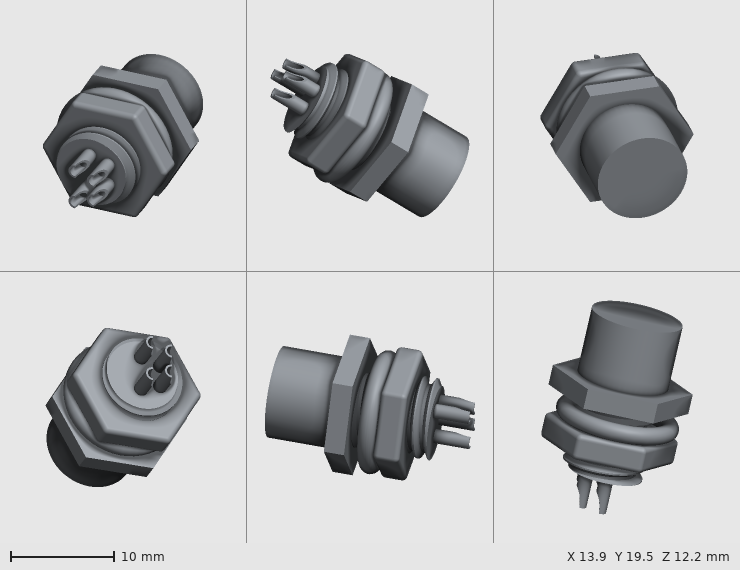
import cadquery as cq
import math


BARREL_DIAMETER = 9.0
BARREL_LENGTH = 6.5
FLANGE_ACROSS_FLATS = 12.0
FLANGE_THICKNESS = 2.0

THREAD_LENGTH = 7.5
THREAD_DIAMETER = 8.0
THREAD_PITCH = 1.25
THREAD_HALF_ANGLE = math.radians(30)
CREST_WIDTH = THREAD_PITCH / 8
ROOT_WIDTH = THREAD_PITCH / 4
THREAD_DEPTH = (THREAD_PITCH - CREST_WIDTH - ROOT_WIDTH) / 2 / math.tan(THREAD_HALF_ANGLE)
ROOT_RADIUS = THREAD_DIAMETER / 2 - THREAD_DEPTH
CREST_OFFSET = 0.71
THREAD_OVERRUN = 2 * THREAD_PITCH
RIDGE_OVERLAP = 0.05

RING_OUTER_DIAMETER = 12.15
RING_SECTION_DIAMETER = 1.75
RING_FRONT_GAP = 1.0
RING_INNER_DIAMETER = RING_OUTER_DIAMETER - 2 * RING_SECTION_DIAMETER
RING_SHIFT_X = (THREAD_DIAMETER - RING_INNER_DIAMETER) / 2

NUT_ACROSS_FLATS = 11.5
NUT_THICKNESS = 2.6
NUT_FILLET = 0.5
NUT_FRONT_GAP = RING_FRONT_GAP + RING_SECTION_DIAMETER

PIN_DIAMETER = 1.4
PIN_LENGTH = 3.5
CUP_DIAMETER = 1.0
CUP_DEPTH = 2.0
PIN_POSITIONS = [(x, side * z) for x, z in ((-0.50, 1.70), (1.45, 1.085)) for side in (1, -1)]


def axial_plane(y):
    """Plane across the connector axis, with local x = X, local y = Z and its normal along -Y."""
    return cq.Workplane("XZ", origin=(0, y, 0))


def hexagon(workplane, across_flats):
    """Hexagon outline with corners on the X axis."""
    return workplane.polygon(6, across_flats / math.cos(math.pi / 6))


def make_thread_ridge():
    """Right-handed helical ridge along the threaded shank, longer than the shank at both ends."""
    inner_radius = ROOT_RADIUS - RIDGE_OVERLAP
    half_crest = CREST_WIDTH / 2
    half_base = half_crest + (THREAD_DEPTH + RIDGE_OVERLAP) * math.tan(THREAD_HALF_ANGLE)
    ridge_length = THREAD_LENGTH + 2 * THREAD_OVERRUN
    path = cq.Wire.makeHelix(THREAD_PITCH, ridge_length, inner_radius)
    ridge = (
        cq.Workplane("XZ")
        .polyline(
            [
                (inner_radius, -half_base),
                (THREAD_DIAMETER / 2, -half_crest),
                (THREAD_DIAMETER / 2, half_crest),
                (inner_radius, half_base),
            ]
        )
        .close()
        .sweep(cq.Workplane(path), isFrenet=True)
    )
    start_y = -THREAD_LENGTH + CREST_OFFSET - THREAD_OVERRUN
    return ridge.rotate((0, 0, 0), (1, 0, 0), -90).translate((0, start_y, 0))


def make_thread():
    """Threaded shank, built longer than needed and then trimmed flat at both ends."""
    core_overrun = 2 * THREAD_OVERRUN
    core_length = THREAD_LENGTH + 2 * core_overrun
    core = axial_plane(core_overrun).circle(ROOT_RADIUS).extrude(core_length)
    trim = axial_plane(0).circle(THREAD_DIAMETER).extrude(THREAD_LENGTH)
    return core.union(make_thread_ridge()).intersect(trim)


def make_housing():
    barrel_end = FLANGE_THICKNESS + BARREL_LENGTH
    barrel = axial_plane(barrel_end).circle(BARREL_DIAMETER / 2).extrude(BARREL_LENGTH)
    flange = hexagon(axial_plane(FLANGE_THICKNESS), FLANGE_ACROSS_FLATS).extrude(FLANGE_THICKNESS)
    thread = make_thread()
    return barrel.union(flange).union(thread)


def make_o_ring():
    section_radius = RING_SECTION_DIAMETER / 2
    centre_radius = RING_OUTER_DIAMETER / 2 - section_radius
    centre_y = -RING_FRONT_GAP - section_radius
    ring = cq.Workplane("XY").center(centre_radius, centre_y).circle(section_radius)
    ring = ring.revolve(360, (-centre_radius, 0), (-centre_radius, 1))
    return ring.translate((RING_SHIFT_X, 0, 0))


def make_nut():
    """Rounded hexagonal nut whose internal thread matches the shank it is screwed onto."""
    nut = hexagon(axial_plane(-NUT_FRONT_GAP), NUT_ACROSS_FLATS).extrude(NUT_THICKNESS)
    nut = nut.edges().fillet(NUT_FILLET)
    return nut.cut(make_thread())


def make_pin(x, z):
    """Round pin whose drilled end is cut open on the +X side by a concave arc."""
    radius = PIN_DIAMETER / 2
    tip_y = -THREAD_LENGTH - PIN_LENGTH
    pin = axial_plane(-THREAD_LENGTH).circle(radius).extrude(PIN_LENGTH)
    cup = axial_plane(tip_y + CUP_DEPTH).circle(CUP_DIAMETER / 2).extrude(CUP_DEPTH)
    arc_radius = (CUP_DEPTH**2 + radius**2) / (2 * radius)
    opening = cq.Workplane("XY", origin=(arc_radius, tip_y, 0)).circle(arc_radius)
    opening = opening.extrude(radius, both=True)
    return pin.cut(cup).cut(opening).translate((x, 0, z))


housing = make_housing()
o_ring = make_o_ring()
nut = make_nut()
pins = [make_pin(x, z) for x, z in PIN_POSITIONS]

result = cq.Compound.makeCompound(
    [housing.val(), o_ring.val(), nut.val(), *[pin.val() for pin in pins]]
)